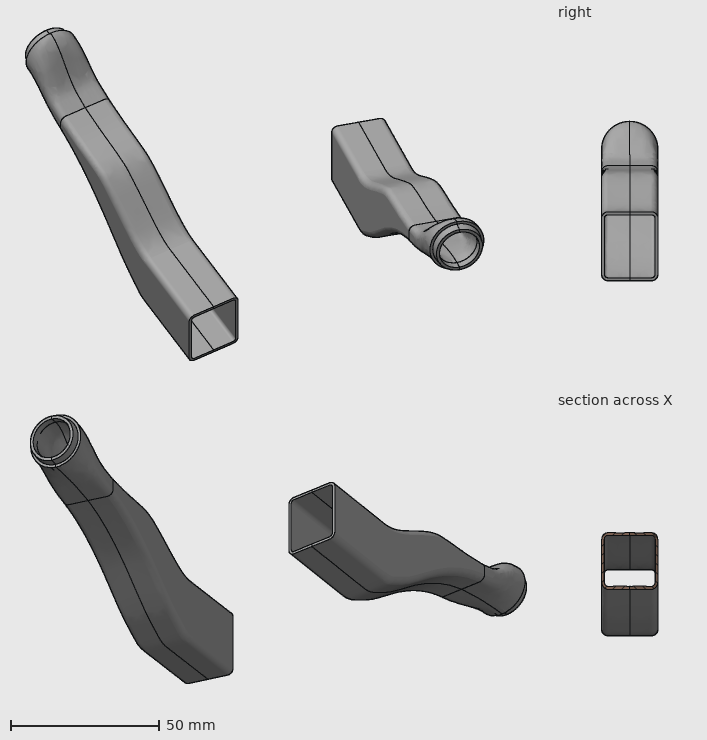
import math

import cadquery as cq


length = 113.09
width = 19.07
height = 53.75
half_width = width / 2
wall = 1.0

inlet_radius = half_width
inlet_z = height - inlet_radius
spigot_length = 2.9
spigot_root_radius = 8.55
spigot_tip_radius = 8.15
bore_radius = 7.05

neck_end_x = 26.3
neck_top_z = 38.8
neck_bottom_z = 31.6
neck_stations = [
    (spigot_length, height, height - width),
    (7.5, 52.0, 34.5),
    (12.2, 47.6, 34.05),
    (16.5, 43.2, 33.5),
    (20.8, 40.55, 32.7),
    (neck_end_x, neck_top_z, neck_bottom_z),
]
flat_steps = 3
corner_steps = 4
side_swell = 0.015

corner_radius = 2.2
outlet_height = 23.2
outlet_start_x = 83.8
roof_slope = -0.12
floor_slope = -0.27
roof_points = [
    (neck_end_x, neck_top_z),
    (38.0, 37.5),
    (49.5, 36.7),
    (53.5, 36.0),
    (58.0, 34.2),
    (68.8, 28.4),
    (77.0, 24.5),
    (outlet_start_x, outlet_height),
]
floor_points = [
    (neck_end_x, neck_bottom_z),
    (38.8, 26.9),
    (49.7, 20.5),
    (57.9, 14.5),
    (68.8, 6.3),
    (77.0, 1.6),
    (outlet_start_x, 0),
]
inset_steps = 16


def blend(start, end, t):
    """Smooth step from start to end that is level at both ends."""
    return start + (end - start) * (3 - 2 * t) * t**2


def rectangle_half(reach, half_height, radius):
    """Points (y, z) down the +Y half of a rounded rectangle, from top center to bottom center."""
    flat_y = reach - radius
    flat_z = half_height - radius
    flat_turns = [math.pi / 2 * step / flat_steps for step in range(flat_steps)]
    flat = [(flat_y * math.sin(turn), half_height) for turn in flat_turns]
    corner_turns = [math.pi / 2 * step / corner_steps for step in range(corner_steps + 1)]
    corner = [
        (flat_y + radius * math.sin(turn), flat_z + radius * math.cos(turn)) for turn in corner_turns
    ]
    upper = flat + corner
    lower = [(y, -z) for y, z in reversed(upper)]
    return upper + [(reach, 0)] + lower


def neck_section(x, top, bottom, start_radius, end_points, t):
    """Closed half outline across X, the fraction t of the way from a circle to the end points."""
    middle = (top + bottom) / 2
    half_height = (top - bottom) / 2
    end_half_height = end_points[0][1]
    points = []
    for index, (end_y, end_z) in enumerate(end_points):
        turn = math.pi * index / (len(end_points) - 1)
        y = blend(start_radius * math.sin(turn), end_y, t)
        z = middle + half_height * blend(math.cos(turn), end_z / end_half_height, t)
        points.append(cq.Vector(x, y, z))
    outward = cq.Vector(0, 1, 0)
    skin = cq.Edge.makeSpline(points, tangents=[outward, -outward])
    return cq.Wire.assembleEdges([skin, cq.Edge.makeLine(points[-1], points[0])])


def neck_solid(start_gap, end_gap, end_corner):
    """Half neck whose surface lies inside the outer one by a gap that changes along X."""
    top_gap = end_gap * math.hypot(1, roof_slope)
    bottom_gap = end_gap * math.hypot(1, floor_slope)
    end_half_height = (neck_top_z - top_gap - neck_bottom_z - bottom_gap) / 2
    end_points = rectangle_half(half_width - side_swell - end_gap, end_half_height, end_corner)
    sections = []
    for x, outer_top, outer_bottom in neck_stations:
        t = (x - spigot_length) / (neck_end_x - spigot_length)
        top = outer_top - blend(start_gap, top_gap, t)
        bottom = outer_bottom + blend(start_gap, bottom_gap, t)
        sections.append(neck_section(x, top, bottom, inlet_radius - start_gap, end_points, t))
    return cq.Workplane(cq.Solid.makeLoft(sections))


def make_neck():
    """Half neck, blending from the round inlet to the rounded rectangle of the channel."""
    return neck_solid(0, 0, corner_radius).cut(
        neck_solid(inlet_radius - bore_radius, wall, corner_radius - wall)
    )


def make_spigot():
    """Half of the tapered ring in front of the neck."""
    return (
        cq.Workplane("XZ", origin=(0, 0, inlet_z))
        .moveTo(0, bore_radius)
        .lineTo(0, spigot_tip_radius)
        .lineTo(spigot_length, spigot_root_radius)
        .lineTo(spigot_length, bore_radius)
        .close()
        .revolve(180, (0, 0), (-1, 0))
    )


def inset_curve(points, slope, inset, side):
    """Points on a roof or floor curve moved along its normal: side 1 is upward, -1 is downward."""
    curve = cq.Edge.makeSpline(
        [cq.Vector(x, 0, z) for x, z in points],
        tangents=[cq.Vector(1, 0, slope), cq.Vector(1, 0, 0)],
    )
    shift = inset * side
    moved = []
    for step in range(inset_steps + 1):
        point = curve.positionAt(step / inset_steps)
        tangent = curve.tangentAt(step / inset_steps)
        moved.append((point.x - shift * tangent.z, point.z + shift * tangent.x))
    return moved


def channel_solid(floor, roof, overrun, reach, edge_radius):
    """Half channel between two curves, run on past both ends, with rounded long edges."""
    start_x = neck_end_x - overrun
    end_x = length + overrun
    profile = cq.Workplane("XZ").moveTo(*floor[0])
    profile = (
        profile.spline(floor[1:], tangents=[(1, floor_slope), (1, 0)], includeCurrent=True)
        .lineTo(end_x, floor[-1][1])
        .lineTo(end_x, roof[-1][1])
        .lineTo(*roof[-1])
        .spline(roof[-2::-1], tangents=[(-1, 0), (-1, -roof_slope)], includeCurrent=True)
    )
    if overrun:
        profile = profile.lineTo(start_x, roof[0][1] + roof_slope * (start_x - roof[0][0]))
        profile = profile.lineTo(start_x, floor[0][1] + floor_slope * (start_x - floor[0][0]))
    body = profile.close().extrude(-reach)
    return body.faces(">Y").edges("not(<X or >X)").fillet(edge_radius)


def make_channel():
    """Half of the flat-sided channel, open at both ends."""
    outside = channel_solid(floor_points, roof_points, 0, half_width, corner_radius)
    inner_floor = inset_curve(floor_points, floor_slope, wall, 1)
    inner_roof = inset_curve(roof_points, roof_slope, wall, -1)
    cavity = channel_solid(inner_floor, inner_roof, wall, half_width - wall, corner_radius - wall)
    return outside.cut(cavity)


def make_half_shell():
    """The half of the duct on the +Y side."""
    return make_spigot().union(make_neck()).union(make_channel())


half_shell = make_half_shell()
half_shells = [half_shell, half_shell.mirror("XZ")]
result = cq.Compound.makeCompound([shell.val() for shell in half_shells])